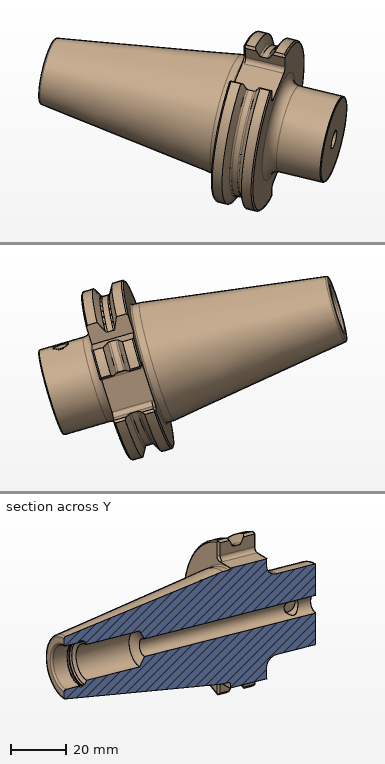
import cadquery as cq
import math

total_length = 108.2
gauge_x = 68.2
flange_start_x = 71.4
flange_end_x = 87.2
flange_width = flange_end_x - flange_start_x

gauge_diameter = 44.5
taper_ratio = 7 / 24
small_end_diameter = gauge_diameter - taper_ratio * gauge_x
small_end_rounding = 0.8
shank_root_fillet = 0.5

flange_diameter = 63.5
rim_chamfer = 0.5

groove_center_x = 79.3
groove_mouth_width = 7.4
groove_floor_diameter = 56.3
groove_wall_angle = 60.0
groove_corner_fillet = 0.9

slot_width = 16.1
slot_corner_fillet = 1.7
top_slot_floor = 22.8
bottom_slot_floor = 24.6
slot_bevel = 0.9

notch_offset = 18.4

nose_diameter = 32.0
nose_fillet = 4.1
nose_chamfer = 0.3

bore_mouth_rounding = 0.8
bore_diameter = 17.0
relief_diameter = 18.0
relief_start_x = 6.8
relief_end_x = 7.8
bore_end_x = 8.8
thread_diameter = 14.0
thread_end_x = 32.5
drill_point_angle = 120.0
through_diameter = 6.8

screw_x = 99.8
screw_diameter = 6.0
screw_length = 10.0
screw_recess = 0.6


def revolve_about_x(profile):
    """Turn an (axial, radial) profile into a solid around the X axis."""
    return profile.close().revolve(360, (0, 0, 0), (1, 0, 0))


def shank_blank():
    profile = (
        cq.Workplane("XZ")
        .lineTo(0, small_end_diameter / 2)
        .lineTo(gauge_x, gauge_diameter / 2)
        .lineTo(flange_start_x - shank_root_fillet, gauge_diameter / 2)
        .radiusArc((flange_start_x, gauge_diameter / 2 + shank_root_fillet), -shank_root_fillet)
        .lineTo(flange_start_x, 0)
    )
    return revolve_about_x(profile).faces("<X").edges().fillet(small_end_rounding)


def slot_outline(x, width, floor):
    """Cross-section of a slot at +Z, with rounded floor corners and open past the rim."""
    half = width / 2
    flat_half = half - slot_corner_fillet
    corner_top = floor + slot_corner_fillet
    return (
        cq.Workplane("YZ", origin=(x, 0, 0))
        .moveTo(-flat_half, floor)
        .lineTo(flat_half, floor)
        .radiusArc((half, corner_top), -slot_corner_fillet)
        .lineTo(half, flange_diameter)
        .lineTo(-half, flange_diameter)
        .lineTo(-half, corner_top)
        .radiusArc((-flat_half, floor), -slot_corner_fillet)
        .close()
    )


def rim_bevel_cutter():
    """Flared prism that bevels the two edges where the +Z slot meets the rim."""
    half = slot_width / 2
    flared_half = half + slot_bevel
    bevel_top = math.sqrt((flange_diameter / 2) ** 2 - flared_half**2)
    bevel_bottom = bevel_top - slot_bevel
    return (
        cq.Workplane("YZ", origin=(flange_start_x, 0, 0))
        .moveTo(-half, bevel_bottom)
        .lineTo(half, bevel_bottom)
        .lineTo(flared_half + slot_bevel, bevel_top + slot_bevel)
        .lineTo(-flared_half - slot_bevel, bevel_top + slot_bevel)
        .close()
        .extrude(flange_width)
    )


def slot_cutter(floor):
    """A drive slot at +Z: straight through, flared at the shank-side face and at the rim."""
    straight = slot_outline(flange_start_x, slot_width, floor).extrude(flange_width)
    flare_mouth = slot_outline(flange_start_x, slot_width + 2 * slot_bevel, floor)
    flare_throat = slot_outline(flange_start_x + slot_bevel, slot_width, floor)
    flare = cq.Solid.makeLoft([flare_mouth.wire().val(), flare_throat.wire().val()], True)
    return straight.union(cq.Workplane(flare)).union(rim_bevel_cutter())


def groove_cutter():
    """V-shaped ring with a flat floor and filleted corners."""
    depth = (flange_diameter - groove_floor_diameter) / 2
    half_mouth = groove_mouth_width / 2
    wall_angle = math.radians(groove_wall_angle)
    half_floor = half_mouth - depth / math.tan(wall_angle)
    fillet_reach = groove_corner_fillet * math.tan(wall_angle / 2)
    wall_step = fillet_reach * math.cos(wall_angle)
    wall_rise = fillet_reach * math.sin(wall_angle)
    floor_radius = groove_floor_diameter / 2
    rim_radius = flange_diameter / 2
    profile = (
        cq.Workplane("XZ")
        .moveTo(groove_center_x - half_mouth, rim_radius)
        .lineTo(groove_center_x - half_floor - wall_step, floor_radius + wall_rise)
        .radiusArc((groove_center_x - half_floor + fillet_reach, floor_radius), -groove_corner_fillet)
        .lineTo(groove_center_x + half_floor - fillet_reach, floor_radius)
        .radiusArc((groove_center_x + half_floor + wall_step, floor_radius + wall_rise), -groove_corner_fillet)
        .lineTo(groove_center_x + half_mouth, rim_radius)
    )
    return revolve_about_x(profile)


def notch_cutter():
    """Square-cornered block that removes the +Y, -Z edge of the flange."""
    size = flange_diameter / 2
    return (
        cq.Workplane("XY")
        .box(flange_width, size, size, centered=False)
        .translate((flange_start_x, notch_offset, -notch_offset - size))
    )


def flange():
    blank = (
        cq.Workplane("XZ")
        .moveTo(flange_start_x, 0)
        .lineTo(flange_start_x, flange_diameter / 2 - rim_chamfer)
        .lineTo(flange_start_x + rim_chamfer, flange_diameter / 2)
        .lineTo(flange_end_x - rim_chamfer, flange_diameter / 2)
        .lineTo(flange_end_x, flange_diameter / 2 - rim_chamfer)
        .lineTo(flange_end_x, 0)
    )
    disc = revolve_about_x(blank)
    top_slot = slot_cutter(top_slot_floor)
    bottom_slot = slot_cutter(bottom_slot_floor).rotate((0, 0, 0), (1, 0, 0), 180)
    return disc.cut(top_slot).cut(bottom_slot).cut(notch_cutter()).cut(groove_cutter())


def nose_blank():
    profile = (
        cq.Workplane("XZ")
        .moveTo(flange_end_x, 0)
        .lineTo(flange_end_x, nose_diameter / 2 + nose_fillet)
        .radiusArc((flange_end_x + nose_fillet, nose_diameter / 2), -nose_fillet)
        .lineTo(total_length - nose_chamfer, nose_diameter / 2)
        .lineTo(total_length, nose_diameter / 2 - nose_chamfer)
        .lineTo(total_length, 0)
    )
    return revolve_about_x(profile)


def bore_cutter():
    """Rounded mouth, plain bore with a relief groove, thread core and through hole, from -X to +X."""
    cone_slope = math.tan(math.radians(drill_point_angle / 2))
    step = (bore_diameter - thread_diameter) / 2 / cone_slope
    point = (thread_diameter - through_diameter) / 2 / cone_slope
    profile = (
        cq.Workplane("XZ")
        .lineTo(0, bore_diameter / 2 + bore_mouth_rounding)
        .radiusArc((bore_mouth_rounding, bore_diameter / 2), -bore_mouth_rounding)
        .lineTo(relief_start_x, bore_diameter / 2)
        .lineTo(relief_start_x, relief_diameter / 2)
        .lineTo(relief_end_x, relief_diameter / 2)
        .lineTo(relief_end_x, bore_diameter / 2)
        .lineTo(bore_end_x, bore_diameter / 2)
        .lineTo(bore_end_x + step, thread_diameter / 2)
        .lineTo(thread_end_x, thread_diameter / 2)
        .lineTo(thread_end_x + point, through_diameter / 2)
        .lineTo(total_length, through_diameter / 2)
        .lineTo(total_length, 0)
    )
    return revolve_about_x(profile)


def radial_cylinder(y_outer, length):
    """Cylinder of the screw diameter that runs inward from y_outer along -Y."""
    return (
        cq.Workplane("XZ", origin=(screw_x, y_outer, 0)).circle(screw_diameter / 2).extrude(length)
    )


def holder_body():
    """Taper shank, flange and nose in one piece, bored along X and drilled at +Y for the screw."""
    outside = shank_blank().union(flange()).union(nose_blank())
    nose_radius = nose_diameter / 2
    return outside.cut(bore_cutter()).cut(radial_cylinder(nose_radius, nose_radius))


def clamp_screw():
    """Plain set screw in the radial hole, just below the nose surface and clear of the bore."""
    return radial_cylinder(nose_diameter / 2 - screw_recess, screw_length)


holder = holder_body()
screw = clamp_screw()

result = cq.Compound.makeCompound([holder.val(), screw.val()])